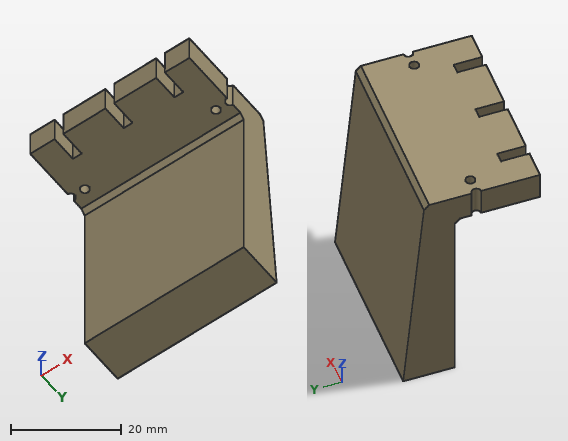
import cadquery as cq

width = 36.0
depth = 26.4
height = 46.0

plate_thickness = 6.0
wall_foot = 10.0
back_lean = 4.0
edge_chamfer = 1.0

slot_count = 3
slot_width = 2.0
slot_depth = 5.5
slot_spacing = 11.5

hole_diameter = 1.8
hole_inset = 3.17
hole_row_y = 12.3

plate_bottom = height - plate_thickness
wall_front = depth - wall_foot
plate_back = depth - back_lean


def bracket_body():
    """Extrude the side profile along X, centred; the plate's front edge is at Y = 0."""
    profile = [
        (0, height),
        (0, plate_bottom),
        (wall_front - edge_chamfer, plate_bottom),
        (wall_front, plate_bottom - edge_chamfer),
        (wall_front, 0),
        (depth, 0),
        (plate_back, height - edge_chamfer),
        (plate_back - edge_chamfer, height),
    ]
    return cq.Workplane("YZ").polyline(profile).close().extrude(width / 2, both=True)


def front_slots():
    """Square-ended slots through the plate, open at its front edge."""
    return (
        cq.Workplane("XY", origin=(0, slot_depth / 2, plate_bottom))
        .rarray(slot_spacing, 0.45, slot_count, 1)
        .rect(slot_width, slot_depth)
        .extrude(plate_thickness)
    )


def holes_and_notches():
    """Two round holes through the plate, and a notch centred on each side face."""
    hole_x = width / 2 - hole_inset
    notch_x = width / 2
    centres = [(x, hole_row_y) for x in (-notch_x, -hole_x, hole_x, notch_x)]
    return (
        cq.Workplane("XY", origin=(0, 0, plate_bottom))
        .pushPoints(centres)
        .circle(hole_diameter / 2)
        .extrude(plate_thickness)
    )


result = bracket_body().cut(front_slots()).cut(holes_and_notches())